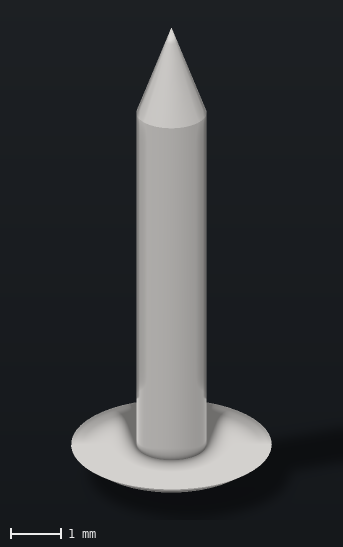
import cadquery as cq

total_length = 10.0
head_radius = 2.0
head_height = 0.7
shank_radius = 0.7
point_length = 1.9

tip_z = total_length - head_height
shoulder_z = tip_z - point_length

dome_radius = (head_radius**2 + head_height**2) / (2 * head_height)
dome_center_z = dome_radius - head_height

dome_mid_x = head_radius / 2
dome_mid_z = dome_center_z - (dome_radius**2 - dome_mid_x**2) ** 0.5

profile = (
    cq.Workplane("XZ")
    .moveTo(0, -head_height)
    .threePointArc((dome_mid_x, dome_mid_z), (head_radius, 0))
    .lineTo(shank_radius, 0)
    .lineTo(shank_radius, shoulder_z)
    .lineTo(0, tip_z)
    .close()
)

result = profile.revolve(360, (0, 0, 0), (0, 1, 0))